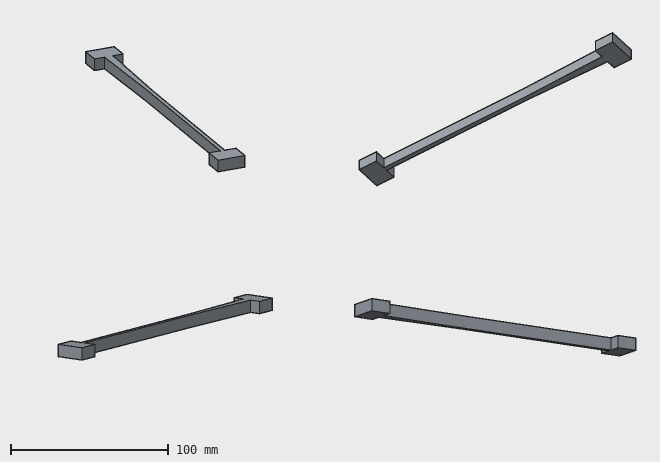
import cadquery as cq

length = 200.0
height = 8.0

block_length = 13.5
left_block_width = 20.0
right_block_width = 18.8

root_width = 6.0
bar_width = 3.0
taper_end = 75.5

bar_end = length - block_length


def end_block(start_x, width):
    """Rectangular block centred on the bar axis."""
    return cq.Workplane("XY").box(block_length, width, height, centered=(False, True, False)).translate(
        (start_x, 0, 0)
    )


bar = (
    cq.Workplane("XY")
    .moveTo(block_length, 0)
    .lineTo(block_length, root_width / 2)
    .lineTo(taper_end, bar_width / 2)
    .lineTo(bar_end, bar_width / 2)
    .lineTo(bar_end, 0)
    .mirrorX()
    .extrude(height)
)

left_block = end_block(0, left_block_width)
right_block = end_block(bar_end, right_block_width)

result = left_block.union(bar).union(right_block)